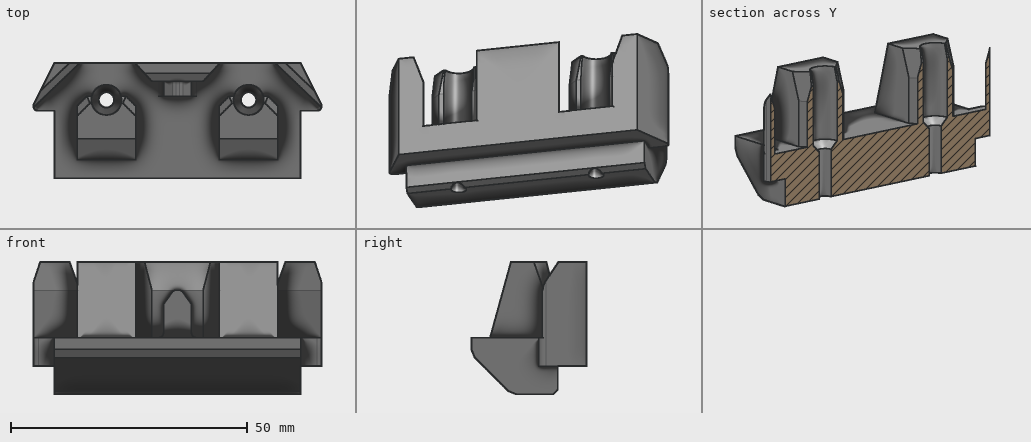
import cadquery as cq
import math


total_height = 28.0
deck_height = 12.0
flange_bottom = 6.0
taper_start = total_height - 6.0
taper_inset = 1.5

body_width = 52.0
body_front = -24.35
body_back = -6.1
nose_setback = 8.5
edge_break = 1.0

flange_front = -10.1
flange_corner_x = 31.05
flange_corner_radius = 1.0

wing_inner_x = 20.6
wing_inner_angle = 46.2

post_spacing = 30.0
post_width = 12.3
post_back = -7.0
post_corner_cut = 2.05
post_front_base = -20.4
post_front_top = -16.0

hole_y = -7.8
hole_diameter = 3.2
countersink_diameter = 6.4
countersink_angle = 90

tab_back_half_width = 9.0
tab_front_half_width = 5.4
tab_front = -3.9
tab_top_front = -2.2
rib_front = -7.0
rib_half_width = 2.95
rib_top_half_width = 0.85
rib_shoulder_height = 19.05
rib_round = 1.0


def make_body():
    """Base bar with a 45 degree undercut below the front edge and broken lower corners."""
    profile = [
        (body_back, 0),
        (body_back, deck_height),
        (body_front, deck_height),
        (body_front, nose_setback),
        (body_front + nose_setback, 0),
    ]
    bar = cq.Workplane("YZ").polyline(profile).close().extrude(body_width / 2, both=True)
    for lower_edges in ("|X and <Z", "|X and <Y and (not >Z)"):
        bar = bar.edges(lower_edges).chamfer(edge_break)
    return bar


def make_flange(top):
    """Flared back plate with rounded front corners, from the flange underside to the given height."""
    half_width = body_width / 2
    outline = [
        (-half_width, 0),
        (half_width, 0),
        (flange_corner_x, flange_front),
        (-flange_corner_x, flange_front),
    ]
    plate = cq.Workplane("XY").workplane(offset=flange_bottom).polyline(outline).close()
    plate = plate.extrude(top - flange_bottom)
    return plate.edges("|Z and (>X or <X)").fillet(flange_corner_radius)


def make_wing():
    """Right-hand corner wing: the flange outline cut off by a slanted inner face."""
    reach = flange_corner_x
    angle = math.radians(wing_inner_angle)
    across = (math.cos(angle), math.sin(angle), 0)
    along = (math.sin(angle), -math.cos(angle), 0)
    inner_face = cq.Plane(origin=(wing_inner_x, 0, 0), xDir=across, normal=along)
    profile = [
        (0, deck_height),
        (0, taper_start),
        (taper_inset, total_height),
        (reach, total_height),
        (reach, deck_height),
    ]
    outside = cq.Workplane(inner_face).polyline(profile).close().extrude(reach, both=True)
    return make_flange(total_height).intersect(outside)


def make_post(center_x):
    """Post with a sloped front, cut back corners and back faces that lean in near the top."""
    half_width = post_width / 2
    side = [
        (post_back, deck_height),
        (post_back, taper_start),
        (post_back - taper_inset, total_height),
        (post_front_top, total_height),
        (post_front_base, deck_height),
    ]
    post = cq.Workplane("YZ", origin=(center_x, 0, 0)).polyline(side).close()
    post = post.extrude(half_width, both=True)
    removed = [
        (0, deck_height),
        (0, taper_start),
        (-taper_inset, total_height),
        (post_width, total_height),
        (post_width, deck_height),
    ]
    for sign in (-1, 1):
        cut_start = (center_x + sign * half_width, post_back - post_corner_cut, 0)
        diagonal = cq.Plane(origin=cut_start, xDir=(sign, 1, 0), normal=(1, -sign, 0))
        post = post.cut(cq.Workplane(diagonal).polyline(removed).close().extrude(post_width, both=True))
    return post


def make_tab():
    """Centre tab with slanted sides and a front face that leans back near the top."""
    plan = [
        (-tab_back_half_width, 0),
        (tab_back_half_width, 0),
        (tab_front_half_width, tab_front),
        (-tab_front_half_width, tab_front),
    ]
    side = [
        (0, deck_height),
        (0, total_height),
        (tab_top_front, total_height),
        (tab_front, taper_start),
        (tab_front, deck_height),
    ]
    column = cq.Workplane("XY").polyline(plan).close().extrude(total_height)
    slab = cq.Workplane("YZ").polyline(side).close().extrude(tab_back_half_width, both=True)
    return column.intersect(slab)


def make_rib():
    """Rounded rib in front of the tab, flaring into the deck at its foot."""
    foot = rib_half_width + rib_round
    profile = [
        (-rib_half_width, deck_height),
        (-rib_half_width, rib_shoulder_height),
        (-rib_top_half_width, taper_start),
        (rib_top_half_width, taper_start),
        (rib_half_width, rib_shoulder_height),
        (rib_half_width, deck_height),
    ]
    plane = cq.Workplane("XZ", origin=(0, tab_front, 0))
    length = tab_front - rib_front
    rib = plane.polyline(profile).close().extrude(length)
    rib = rib.edges("|Y and (not <Z)").fillet(rib_round)
    for sign in (-1, 1):
        flare = (
            plane.moveTo(sign * rib_half_width, deck_height)
            .lineTo(sign * foot, deck_height)
            .radiusArc((sign * rib_half_width, deck_height + rib_round), sign * rib_round)
            .close()
            .extrude(length)
        )
        rib = rib.union(flare)
    return rib


def make_hole(center_x):
    """Screw clearance: through hole, countersink in the deck and head clearance above it."""
    sink_depth = (countersink_diameter - hole_diameter) / 2 / math.tan(math.radians(countersink_angle / 2))
    profile = [
        (0, 0),
        (hole_diameter / 2, 0),
        (hole_diameter / 2, deck_height - sink_depth),
        (countersink_diameter / 2, deck_height),
        (countersink_diameter / 2, total_height),
        (0, total_height),
    ]
    axis_plane = cq.Workplane("XZ", origin=(center_x, hole_y, 0))
    return axis_plane.polyline(profile).close().revolve(360, (0, 0, 0), (0, 1, 0))


result = make_body().union(make_flange(deck_height))
wing = make_wing()
result = result.union(wing).union(wing.mirror("YZ"))
result = result.union(make_tab()).union(make_rib())
post_centers = (-post_spacing / 2, post_spacing / 2)
for x in post_centers:
    result = result.union(make_post(x))
for x in post_centers:
    result = result.cut(make_hole(x))